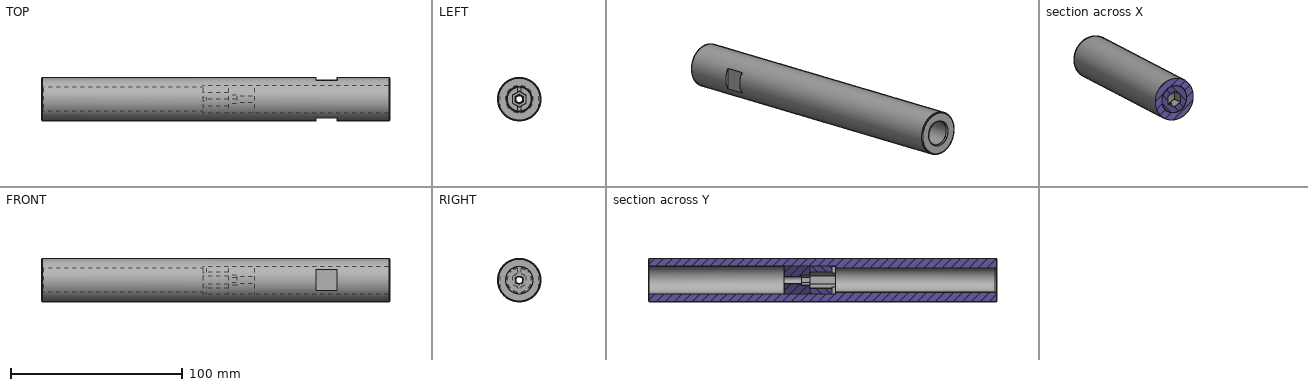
import cadquery as cq
import math

length = 203.2
outer_diameter = 25.4
front_bore_diameter = 14.0
left_edge_chamfer = 0.5
bore_mouth_chamfer_width = 0.5
bore_mouth_chamfer_depth = 1.0
right_edge_chamfer = 0.5

flat_start = 160.2
flat_length = 12.3
across_flats = 22.2

rear_bore_diameter = 16.0

screw_length = 15.0
screw_start = (length - screw_length) / 2
slot_width = 2.0
slot_depth = 2.0
screw_hexagon = 8.0

lock_start = screw_start + screw_length
lock_length = 15.0
lock_hexagon = 5.0
lock_socket_depth = 5.0
lock_hole_diameter = 4.0


def rod(start, rod_length, diameter):
    """Cylinder on the tube axis."""
    return cq.Workplane("YZ", origin=(start, 0, 0)).circle(diameter / 2).extrude(rod_length)


def hexagon_bar(start, bar_length, size_across_flats):
    """Hexagonal bar on the tube axis, with corners pointing to -Z and +Z."""
    corner_diameter = size_across_flats / math.cos(math.radians(30))
    plane = cq.Workplane("YZ", origin=(start, 0, 0)).transformed(rotate=(0, 0, 90))
    return plane.polygon(6, corner_diameter).extrude(bar_length)


def make_tube():
    body = rod(0, length, outer_diameter)
    body = body.faces("<X").chamfer(left_edge_chamfer)
    body = body.faces(">X").chamfer(right_edge_chamfer)
    body = body.cut(rod(0, length, front_bore_diameter))
    body = body.cut(rod(screw_start, length - screw_start, rear_bore_diameter))

    bore_mouth = body.faces("<X").edges(cq.selectors.RadiusNthSelector(0))
    body = bore_mouth.chamfer(bore_mouth_chamfer_width, bore_mouth_chamfer_depth)

    flat_depth = (outer_diameter - across_flats) / 2
    for side in (-1, 1):
        flat_center = (flat_start + flat_length / 2, side * (across_flats + flat_depth) / 2, 0)
        flat_cutter = cq.Workplane(origin=flat_center).box(flat_length, flat_depth, outer_diameter)
        body = body.cut(flat_cutter)
    return body


def make_adjusting_screw():
    body = rod(screw_start, screw_length, rear_bore_diameter)
    body = body.cut(hexagon_bar(screw_start, screw_length, screw_hexagon))
    slot_center = (screw_start + slot_depth / 2, 0, 0)
    slot = cq.Workplane(origin=slot_center).box(slot_depth, slot_width, rear_bore_diameter)
    return body.cut(slot)


def make_lock_screw():
    body = rod(lock_start, lock_length, rear_bore_diameter)
    body = body.cut(hexagon_bar(lock_start, lock_socket_depth, lock_hexagon))
    return body.cut(rod(lock_start, lock_length, lock_hole_diameter))


tube = make_tube()
adjusting_screw = make_adjusting_screw()
lock_screw = make_lock_screw()

result = cq.Compound.makeCompound([tube.val(), adjusting_screw.val(), lock_screw.val()])